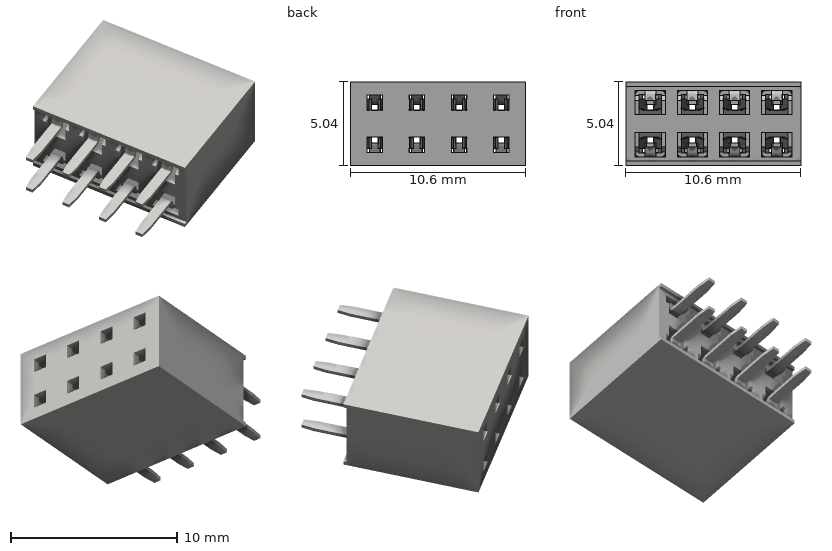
import cadquery as cq
import math

columns = 4
pitch = 2.54
column_places = [(i - (columns - 1) / 2) * pitch for i in range(columns)]
row_height = pitch / 2

housing_width = 10.56
housing_depth = 8.5
housing_height = 5.04
rail_depth = 0.2
rail_height = 0.27
cavity_width = 1.82
cavity_height = 1.46
mating_wall = 0.5
entry_size = 0.91

sheet = 0.24
channel_length = 3.0
corner_radius = 0.25
plate_setback = 0.48
slope_top_gap = 0.05
slope_drop = 0.31

finger_length = 2.0
finger_gap = 0.39
finger_sheet = 0.15
finger_top = 0.22
finger_root_bottom = -0.33
finger_tip_bottom = -0.45

tail_width = 0.66
tail_tip_width = 0.47
tail_taper = 0.83
tail_reach = 3.0
bend_angle = math.radians(75)
plate_bend_radius = 0.09
tail_bend_radius = 0.08

front_face = rail_depth
channel_end = front_face + channel_length
plate_front = front_face + plate_setback
plate_top = cavity_height / 2
plate_bottom = plate_top - sheet
tail_top = sheet / 2
tail_bottom = -sheet / 2
inner_half = cavity_width / 2 - sheet


def box(x_size, y_start, y_end, z_bottom, z_top):
    """Block centred on X, spanning the given Y and Z limits."""
    block = cq.Workplane("XY").box(x_size, y_end - y_start, z_top - z_bottom, centered=(True, False, False))
    return block.translate((0, y_start, z_bottom))


def make_housing():
    half_height = housing_height / 2
    body = box(housing_width, 0, housing_depth, -half_height, half_height)
    rail_gap = half_height - rail_height
    body = body.cut(box(housing_width, 0, front_face, -rail_gap, rail_gap))
    cavity_end = housing_depth - mating_wall
    cavity = box(cavity_width, front_face, cavity_end, -cavity_height / 2, cavity_height / 2)
    entry = box(entry_size, cavity_end, housing_depth, -entry_size / 2, entry_size / 2)
    opening = cavity.union(entry)
    for x in column_places:
        for z in (-row_height, row_height):
            body = body.cut(opening.translate((x, 0, z)))
    return body


def make_channel():
    """Top plate and two side walls, with the wall fronts sloping back to the plate."""
    shell = box(cavity_width, front_face, channel_end, -plate_top, plate_top)
    shell = shell.edges("|Y and >Z").fillet(corner_radius)
    shell = shell.cut(box(2 * inner_half, front_face, channel_end, -plate_top, plate_bottom))
    slope_top = plate_bottom - slope_top_gap
    front_relief = (
        cq.Workplane("YZ")
        .moveTo(front_face, plate_top)
        .lineTo(front_face, slope_top - slope_drop)
        .lineTo(plate_front, slope_top)
        .lineTo(plate_front, plate_top)
        .close()
        .extrude(cavity_width / 2, both=True)
    )
    return shell.cut(front_relief)


def make_finger():
    """Right-hand spring, leaning inward from its side wall toward the mating face."""
    tip_end = channel_end + finger_length
    plan = (
        cq.Workplane("XY")
        .workplane(offset=finger_tip_bottom)
        .moveTo(inner_half, channel_end)
        .lineTo(finger_gap / 2, tip_end)
        .lineTo(finger_gap / 2 + finger_sheet, tip_end)
        .lineTo(inner_half + finger_sheet, channel_end)
        .close()
        .extrude(finger_top - finger_tip_bottom)
    )
    side = (
        cq.Workplane("YZ")
        .moveTo(channel_end, finger_top)
        .lineTo(tip_end, finger_top)
        .lineTo(tip_end, finger_tip_bottom)
        .lineTo(channel_end, finger_root_bottom)
        .close()
        .extrude(cavity_width / 2)
    )
    return plan.intersect(side)


def on_bend(centre, radius, angle, side):
    """Point (Y, Z) on a bend; the angle turns toward -Y from straight up (side 1) or from straight down (-1)."""
    y, z = centre
    return (y - side * radius * math.sin(angle), z + side * radius * math.cos(angle))


def make_tail():
    """Strip that drops from the plate through an S-bend and runs out to a tapered tip."""
    plate_outer = plate_bend_radius + sheet
    tail_outer = tail_bend_radius + sheet
    plate_centre = (plate_front, plate_top - plate_outer)
    centre_distance_z = tail_top + tail_bend_radius - plate_centre[1]
    radius_sum = plate_outer + tail_bend_radius
    web = (radius_sum * math.cos(bend_angle) - centre_distance_z) / math.sin(bend_angle)
    tail_centre_y = plate_front - radius_sum * math.sin(bend_angle) - web * math.cos(bend_angle)
    tail_centre = (tail_centre_y, tail_top + tail_bend_radius)
    half_bend = bend_angle / 2

    profile = (
        cq.Workplane("YZ")
        .moveTo(plate_front, plate_top)
        .threePointArc(
            on_bend(plate_centre, plate_outer, half_bend, 1),
            on_bend(plate_centre, plate_outer, bend_angle, 1),
        )
        .lineTo(*on_bend(tail_centre, tail_bend_radius, bend_angle, -1))
        .threePointArc(
            on_bend(tail_centre, tail_bend_radius, half_bend, -1),
            on_bend(tail_centre, tail_bend_radius, 0, -1),
        )
        .lineTo(-tail_reach, tail_top)
        .lineTo(-tail_reach, tail_bottom)
        .lineTo(tail_centre_y, tail_bottom)
        .threePointArc(
            on_bend(tail_centre, tail_outer, half_bend, -1),
            on_bend(tail_centre, tail_outer, bend_angle, -1),
        )
        .lineTo(*on_bend(plate_centre, plate_bend_radius, bend_angle, 1))
        .threePointArc(
            on_bend(plate_centre, plate_bend_radius, half_bend, 1),
            on_bend(plate_centre, plate_bend_radius, 0, 1),
        )
        .close()
        .extrude(tail_width / 2, both=True)
    )
    outline = (
        cq.Workplane("XY")
        .workplane(offset=-plate_top)
        .moveTo(-tail_width / 2, plate_front)
        .lineTo(-tail_width / 2, tail_taper - tail_reach)
        .lineTo(-tail_tip_width / 2, -tail_reach)
        .lineTo(tail_tip_width / 2, -tail_reach)
        .lineTo(tail_width / 2, tail_taper - tail_reach)
        .lineTo(tail_width / 2, plate_front)
        .close()
        .extrude(cavity_height)
    )
    return profile.intersect(outline)


def make_contact():
    finger = make_finger()
    return make_channel().union(finger).union(finger.mirror("YZ")).union(make_tail())


housing = make_housing()
upper_contact = make_contact()
lower_contact = upper_contact.mirror("XY")

contacts = []
for column_x in column_places:
    contacts.append(upper_contact.translate((column_x, 0, row_height)).val())
    contacts.append(lower_contact.translate((column_x, 0, -row_height)).val())

result = cq.Compound.makeCompound([housing.val(), *contacts])